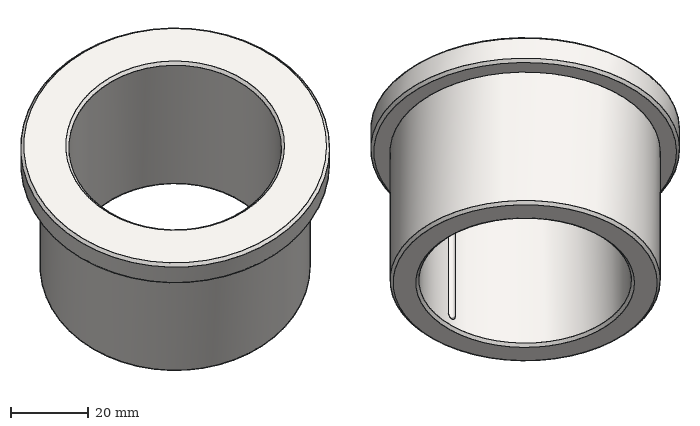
import cadquery as cq

flange_diameter = 80.0
body_diameter = 70.0
bore_diameter = 55.0
total_height = 50.0
flange_thickness = 8.0
chamfer = 0.8

body_height = total_height - flange_thickness

body = (
    cq.Workplane("XY")
    .circle(body_diameter / 2)
    .extrude(body_height)
    .faces("<Z").edges().chamfer(chamfer)
)

flange = (
    cq.Workplane("XY")
    .workplane(offset=body_height)
    .circle(flange_diameter / 2)
    .extrude(flange_thickness)
    .edges().chamfer(chamfer)
)

bushing = body.union(flange)
bore = cq.Workplane("XY").circle(bore_diameter / 2).extrude(total_height)
result = bushing.cut(bore)
bore_rims = cq.selectors.RadiusNthSelector(0)
result = result.faces("<Z or >Z").edges(bore_rims).chamfer(chamfer)

groove_radius = 1.2
groove_end_margin = 3.0

lower_ball_height = groove_end_margin + groove_radius
upper_ball_height = total_height - lower_ball_height
groove = (
    cq.Workplane("XY", origin=(bore_diameter / 2, 0, lower_ball_height))
    .circle(groove_radius)
    .extrude(upper_ball_height - lower_ball_height)
)
for ball_height in (lower_ball_height, upper_ball_height):
    ball = cq.Workplane("XY", origin=(bore_diameter / 2, 0, ball_height)).sphere(groove_radius)
    groove = groove.union(ball)
result = result.cut(groove)